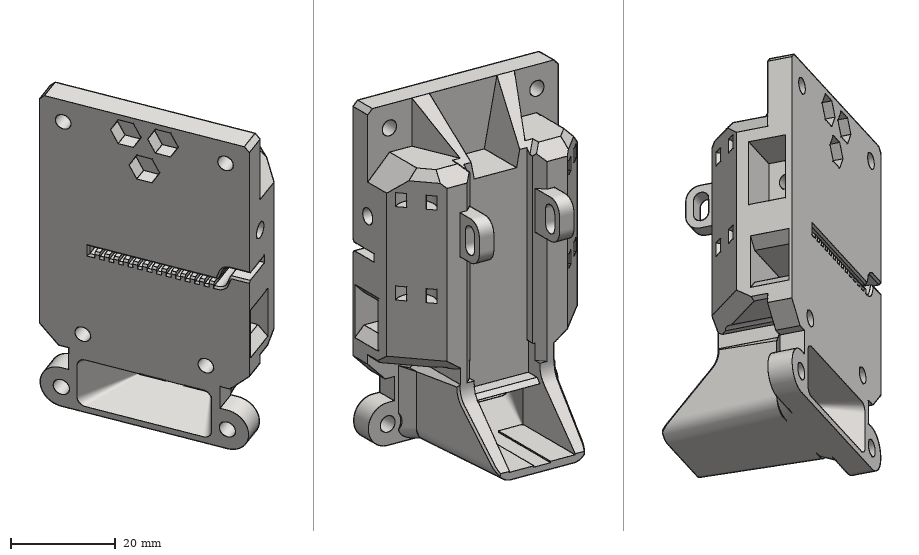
import cadquery as cq
import math

HEIGHT = 71.0
HALF_WIDTH = 22.045
PLATE_THICKNESS = 5.05
PLATE_TOP_CHAMFER = 1.1
PLATE_BOTTOM = 14.0
PLATE_BOTTOM_CHAMFER = 4.05
NECK_HALF_WIDTH = 15.9

EAR_RADIUS = 4.5
EAR_X = 17.43
EAR_HOLE_DIAMETER = 3.4
SCREW_HEAD_DIAMETER = 6.0
PLATE_HOLE_DIAMETER = 3.3
PLATE_HOLES = [(17.05, 66.0), (12.9, 17.95)]

NUT_ACROSS_CORNERS = 6.4
NUT_DEPTH = 3.2
NUT_CENTRES = [(-3.9, 67.0), (3.9, 67.0), (0.0, 59.9)]

BODY_BACK = 20.0
BODY_BOTTOM = 19.3
BODY_TOP = 61.0
BODY_SIDE_BACK = 11.5
BODY_BACK_HALF_WIDTH = 13.9
TOP_SIDE_CHAMFER = 5.05
TOP_BACK_CHAMFER = 3.0
TOP_SLANT_CHAMFER = (1.7, 2.05)
BOTTOM_SLANT_CHAMFER = (2.85, 2.7)
BOTTOM_SIDE_CHAMFER = 0.7

GROOVE_HALF_WIDTH = 7.25
GROOVE_FLOOR = 16.05
GROOVE_BOTTOM = 13.1
GROOVE_MOUTH_BEVEL = 2.0
GROOVE_TOP_FLARE = 2.05

RIB_HALF_WIDTH_FRONT = 11.85
RIB_HALF_WIDTH_BACK = 7.5
CHANNEL_BOTTOM = 56.4
CHANNEL_HALF_WIDTH_BOTTOM = 4.9
CHANNEL_HALF_WIDTH_TOP = 7.8

POCKET_Y = (1.35, 8.95)
POCKET_Z = (39.9, 53.4)
POCKET_DEPTH = 9.95
SCREW_HOLE_DIAMETER = 3.4
SCREW_HOLE_Z = 48.85
TUNNEL_Y = (0.65, 8.6)
TUNNEL_Z = (24.15, 30.95)
TUNNEL_FLARE = 2.1

BELT_DEPTH = 7.1
BELT_THICKNESS = 1.8
BELT_START_X = -11.65
BELT_FLOOR_Z = 36.8
BELT_RISE = 3.3
BELT_BEND_START_X = 16.75
BELT_BEND_LEAD = 1.35
BELT_BEND_RUN = 1.2
BELT_OUTER_BEND_RADIUS = 2.0
BELT_INNER_BEND_RADIUS = 0.6
BELT_BEVEL = 0.4
TOOTH_PITCH = 1.9995
TOOTH_WIDTH = 1.0
TOOTH_HEIGHT = 0.85
TOOTH_COUNT = 13
FIRST_TOOTH_X = -9.95

TIE_CENTRE_Y = 15.7
TIE_OUTER_RADIUS = 4.05
TIE_INNER_RADIUS = 1.9
TIE_HEIGHT = 2.9
TIE_BOTTOMS = (33.9, 53.3)

LUG_X = (7.6, 10.9)
LUG_Y = (GROOVE_FLOOR, 26.7)
LUG_Z = (43.1, 52.25)
LUG_CORNER_RADIUS = 3.0
LUG_SLOT_LENGTH = 6.0
LUG_SLOT_WIDTH = 3.1
LUG_SLOT_Y = 23.5

NOZZLE_BACK = 32.0
NOZZLE_TOP = 16.4
NOZZLE_UPPER_HALF_WIDTH = 10.8
NOZZLE_FLARE_HALF_WIDTH = 15.0
NOZZLE_FLARE_END = (12.3, 7.25)
NOZZLE_FLARE_TOP = 16.05
NOZZLE_FLARE_OVERLAP = 3.0
NOZZLE_BACK_HALF_WIDTH = 10.4
NOZZLE_LOWER_RADIUS = 3.1
NOZZLE_BACK_HEIGHT = 1.85
NOZZLE_SLOPE_RADIUS = 4.6
NOZZLE_RIM_CHAMFER = 0.4
DUCT_HALF_WIDTH = 7.6
DUCT_TOP = 12.15
DUCT_FLOOR = 1.6
DUCT_GUTTER_HALF_WIDTH = 1.9
INLET_HALF_WIDTH = 14.1
INLET_FLOOR = 1.35
INLET_RADIUS = 1.8
INLET_LENGTH = 14.2
INLET_END_RADIUS = 0.2

MARGIN = 3.55


def box(x, y, z):
    """Box between the (low, high) limits on each axis."""
    return cq.Workplane("XY").box(
        x[1] - x[0], y[1] - y[0], z[1] - z[0], centered=False
    ).translate((x[0], y[0], z[0]))


def both_sides(shape):
    """A right-hand shape together with its mirror image across X = 0."""
    return shape.union(shape.mirror("YZ"))


def mirrored_outline(points):
    """Close a right-hand point list with its mirror image across the first axis."""
    return points + [(-a, b) for a, b in reversed(points)]


def along_y(points, start, end):
    """Extrude an XZ outline from Y = start to Y = end."""
    return cq.Workplane("XZ", origin=(0, start, 0)).polyline(points).close().extrude(start - end)


def along_x(points, half_length):
    """Extrude a YZ outline to both sides of X = 0."""
    return cq.Workplane("YZ").polyline(points).close().extrude(half_length, both=True)


def along_z(points, bottom, top):
    """Extrude an XY outline from Z = bottom to Z = top."""
    return cq.Workplane("XY").workplane(offset=bottom).polyline(points).close().extrude(top - bottom)


def rods_y(centres, diameter, start, end):
    """Round rods along Y at XZ centres."""
    return (
        cq.Workplane("XZ", origin=(0, start, 0))
        .pushPoints(centres)
        .circle(diameter / 2)
        .extrude(start - end)
    )


def make_plate():
    outline = mirrored_outline([
        (NECK_HALF_WIDTH, 0),
        (NECK_HALF_WIDTH, PLATE_BOTTOM),
        (HALF_WIDTH - PLATE_BOTTOM_CHAMFER, PLATE_BOTTOM),
        (HALF_WIDTH, PLATE_BOTTOM + PLATE_BOTTOM_CHAMFER),
        (HALF_WIDTH, HEIGHT - PLATE_TOP_CHAMFER),
        (HALF_WIDTH - PLATE_TOP_CHAMFER, HEIGHT),
    ])
    plate = along_y(outline, 0, PLATE_THICKNESS)
    ear_bar = box((-EAR_X, EAR_X), (0, PLATE_THICKNESS), (0, 2 * EAR_RADIUS))
    ears = rods_y([(-EAR_X, EAR_RADIUS), (EAR_X, EAR_RADIUS)], 2 * EAR_RADIUS, 0, PLATE_THICKNESS)
    return plate.union(ear_bar).union(ears)


def slant_envelope():
    """Prism along the right slanted side whose section carries that side's top and bottom bevels."""
    run_x = HALF_WIDTH - BODY_BACK_HALF_WIDTH
    run_y = BODY_BACK - BODY_SIDE_BACK
    length = math.hypot(run_x, run_y)
    outward = (run_y / length, run_x / length, 0)
    plane = cq.Plane(
        origin=(HALF_WIDTH, BODY_SIDE_BACK, 0),
        xDir=outward,
        normal=(outward[1], -outward[0], 0),
    )
    section = [
        (-2 * HALF_WIDTH, BODY_BOTTOM),
        (-BOTTOM_SLANT_CHAMFER[0], BODY_BOTTOM),
        (0, BODY_BOTTOM + BOTTOM_SLANT_CHAMFER[1]),
        (0, BODY_TOP - TOP_SLANT_CHAMFER[1]),
        (-TOP_SLANT_CHAMFER[0], BODY_TOP),
        (-2 * HALF_WIDTH, BODY_TOP),
    ]
    return cq.Workplane(plane).polyline(section).close().extrude(2 * HALF_WIDTH, both=True)


def make_body():
    plan = mirrored_outline([
        (HALF_WIDTH, 0),
        (HALF_WIDTH, BODY_SIDE_BACK),
        (BODY_BACK_HALF_WIDTH, BODY_BACK),
    ])
    body = along_z(plan, BODY_BOTTOM, BODY_TOP)
    front_profile = mirrored_outline([
        (HALF_WIDTH - BOTTOM_SIDE_CHAMFER, BODY_BOTTOM),
        (HALF_WIDTH, BODY_BOTTOM + BOTTOM_SIDE_CHAMFER),
        (HALF_WIDTH, BODY_TOP - TOP_SIDE_CHAMFER),
        (HALF_WIDTH - TOP_SIDE_CHAMFER, BODY_TOP),
    ])
    side_profile = [
        (0, BODY_BOTTOM),
        (BODY_BACK, BODY_BOTTOM),
        (BODY_BACK, BODY_TOP - TOP_BACK_CHAMFER),
        (BODY_BACK - TOP_BACK_CHAMFER, BODY_TOP),
        (0, BODY_TOP),
    ]
    body = body.intersect(along_y(front_profile, 0, BODY_BACK))
    body = body.intersect(along_x(side_profile, HALF_WIDTH))
    slants = slant_envelope()
    return body.intersect(slants).intersect(slants.mirror("YZ"))


def make_ribs():
    plan = mirrored_outline([
        (RIB_HALF_WIDTH_FRONT, PLATE_THICKNESS),
        (RIB_HALF_WIDTH_BACK, PLATE_THICKNESS + HEIGHT - BODY_TOP),
    ])
    slope = [
        (PLATE_THICKNESS, BODY_TOP),
        (PLATE_THICKNESS, HEIGHT),
        (PLATE_THICKNESS + HEIGHT - BODY_TOP, BODY_TOP),
    ]
    return along_z(plan, BODY_TOP, HEIGHT).intersect(along_x(slope, HALF_WIDTH))


def make_rib_channel():
    section = mirrored_outline([
        (CHANNEL_HALF_WIDTH_BOTTOM, CHANNEL_BOTTOM),
        (CHANNEL_HALF_WIDTH_TOP, HEIGHT),
    ])
    return along_y(section, PLATE_THICKNESS, GROOVE_FLOOR)


def make_groove():
    plan = mirrored_outline([
        (GROOVE_HALF_WIDTH, GROOVE_FLOOR),
        (GROOVE_HALF_WIDTH, BODY_BACK - GROOVE_MOUTH_BEVEL),
        (GROOVE_HALF_WIDTH + GROOVE_MOUTH_BEVEL, BODY_BACK),
        (GROOVE_HALF_WIDTH + GROOVE_MOUTH_BEVEL, NOZZLE_BACK),
    ])
    upper = along_z(plan, NOZZLE_TOP, HEIGHT)
    lower = box(
        (-DUCT_HALF_WIDTH, DUCT_HALF_WIDTH), (GROOVE_FLOOR, NOZZLE_BACK), (GROOVE_BOTTOM, NOZZLE_TOP + MARGIN)
    )
    flare_section = mirrored_outline([
        (GROOVE_HALF_WIDTH, BODY_TOP - GROOVE_TOP_FLARE),
        (GROOVE_HALF_WIDTH + GROOVE_TOP_FLARE, BODY_TOP),
    ])
    flare = along_y(flare_section, PLATE_THICKNESS, BODY_BACK)
    behind_slope = along_x([
        (PLATE_THICKNESS, HEIGHT),
        (PLATE_THICKNESS + HEIGHT, 0),
        (PLATE_THICKNESS + HEIGHT, HEIGHT),
    ], HALF_WIDTH)
    return upper.union(lower).union(flare.intersect(behind_slope))


def rounded_nozzle_block(front_corner, back_corner):
    """Block between two plan corners and their mirror images, with rounded lower side edges."""
    block = along_z(mirrored_outline([front_corner, back_corner]), 0, NOZZLE_TOP)
    return block.faces("<Z").edges("not(|X)").fillet(NOZZLE_LOWER_RADIUS)


def make_nozzle():
    flare_start = (NOZZLE_FLARE_HALF_WIDTH, PLATE_THICKNESS)
    back_corner = (NOZZLE_BACK_HALF_WIDTH, NOZZLE_BACK)
    flare_tip = tuple(start + NOZZLE_FLARE_OVERLAP * (end - start)
                      for start, end in zip(flare_start, NOZZLE_FLARE_END))
    flare = rounded_nozzle_block(flare_start, flare_tip)
    shroud = rounded_nozzle_block(NOZZLE_FLARE_END, back_corner)
    shroud = shroud.intersect(make_nozzle_envelope())
    slope_y = (BODY_BACK + NOZZLE_BACK) / 2
    slope_middle = (0, slope_y, NOZZLE_BACK + NOZZLE_BACK_HEIGHT - slope_y)
    slope_face = shroud.faces(cq.NearestToPointSelector(slope_middle))
    shroud = slope_face.edges("not(|X)").chamfer(NOZZLE_RIM_CHAMFER)
    lower = flare.union(shroud)
    side_start_x = NOZZLE_FLARE_END[0]
    roof_section = mirrored_outline([
        (NOZZLE_FLARE_HALF_WIDTH, 0),
        (NOZZLE_FLARE_HALF_WIDTH, NOZZLE_FLARE_TOP),
        (side_start_x, NOZZLE_TOP + NOZZLE_UPPER_HALF_WIDTH - side_start_x),
        (NOZZLE_UPPER_HALF_WIDTH, NOZZLE_TOP),
    ])
    lower = lower.intersect(along_y(roof_section, 0, NOZZLE_BACK))
    upper = box(
        (-NOZZLE_UPPER_HALF_WIDTH, NOZZLE_UPPER_HALF_WIDTH),
        (PLATE_THICKNESS, BODY_BACK),
        (NOZZLE_LOWER_RADIUS, BODY_BOTTOM + BOTTOM_SLANT_CHAMFER[1]),
    )
    return lower.union(upper)


def make_nozzle_envelope():
    """Side profile: straight back, a rounded turn into the 45 degree slope, and a short vertical end."""
    slope_start_z = NOZZLE_BACK + NOZZLE_BACK_HEIGHT - BODY_BACK
    tangent = NOZZLE_SLOPE_RADIUS * math.tan(math.radians(22.5))
    diagonal = tangent * math.sqrt(0.5)
    return (
        cq.Workplane("YZ")
        .moveTo(0, 0)
        .lineTo(NOZZLE_BACK, 0)
        .lineTo(NOZZLE_BACK, NOZZLE_BACK_HEIGHT)
        .lineTo(BODY_BACK + diagonal, slope_start_z - diagonal)
        .radiusArc((BODY_BACK, slope_start_z + tangent), NOZZLE_SLOPE_RADIUS)
        .lineTo(BODY_BACK, HEIGHT)
        .lineTo(0, HEIGHT)
        .close()
        .extrude(HALF_WIDTH, both=True)
    )


def make_duct():
    inlet_height = DUCT_TOP - INLET_FLOOR
    inlet = (
        cq.Workplane("XZ", origin=(0, 0, (DUCT_TOP + INLET_FLOOR) / 2))
        .placeSketch(
            cq.Sketch().rect(2 * INLET_HALF_WIDTH, inlet_height).vertices().fillet(INLET_RADIUS),
            cq.Sketch()
            .rect(2 * DUCT_HALF_WIDTH, inlet_height)
            .vertices()
            .fillet(INLET_END_RADIUS)
            .moved(cq.Location(cq.Vector(0, 0, -INLET_LENGTH))),
        )
        .loft()
    )
    passage = box(
        (-DUCT_HALF_WIDTH, DUCT_HALF_WIDTH), (INLET_LENGTH, NOZZLE_BACK + MARGIN), (DUCT_FLOOR, DUCT_TOP)
    )
    gutter = box(
        (-DUCT_GUTTER_HALF_WIDTH, DUCT_GUTTER_HALF_WIDTH),
        (INLET_LENGTH, NOZZLE_BACK + MARGIN),
        (INLET_FLOOR, DUCT_TOP),
    )
    lip_height = GROOVE_BOTTOM - DUCT_TOP
    roof_lip = along_x([
        (BODY_BACK, DUCT_TOP),
        (NOZZLE_BACK, DUCT_TOP),
        (NOZZLE_BACK, GROOVE_BOTTOM),
        (BODY_BACK - lip_height, GROOVE_BOTTOM),
    ], DUCT_HALF_WIDTH)
    return inlet.union(passage).union(gutter).union(roof_lip)


def make_nut_pockets():
    return (
        cq.Workplane("XZ")
        .pushPoints(NUT_CENTRES)
        .polygon(6, NUT_ACROSS_CORNERS)
        .extrude(-NUT_DEPTH)
    )


def make_plate_holes():
    centres = [(side * x, z) for x, z in PLATE_HOLES for side in (-1, 1)]
    ear_centres = [(-EAR_X, EAR_RADIUS), (EAR_X, EAR_RADIUS)]
    holes = rods_y(centres, PLATE_HOLE_DIAMETER, 0, NOZZLE_BACK)
    ear_holes = rods_y(ear_centres, EAR_HOLE_DIAMETER, 0, PLATE_THICKNESS)
    head_clearance = rods_y(ear_centres, SCREW_HEAD_DIAMETER, PLATE_THICKNESS, NOZZLE_BACK)
    return holes.union(ear_holes).union(head_clearance)


def make_side_openings():
    pocket = box((-HALF_WIDTH, -HALF_WIDTH + POCKET_DEPTH), POCKET_Y, POCKET_Z)
    screw_hole = (
        cq.Workplane("YZ")
        .center(PLATE_THICKNESS, SCREW_HOLE_Z)
        .circle(SCREW_HOLE_DIAMETER / 2)
        .extrude(HALF_WIDTH, both=True)
    )
    inner_x = HALF_WIDTH - TUNNEL_FLARE
    low, high = TUNNEL_Z
    tunnel = along_y([
        (-HALF_WIDTH, low - TUNNEL_FLARE),
        (-inner_x, low),
        (inner_x, low),
        (HALF_WIDTH, low - TUNNEL_FLARE),
        (HALF_WIDTH, high + TUNNEL_FLARE),
        (inner_x, high),
        (-inner_x, high),
        (-HALF_WIDTH, high + TUNNEL_FLARE),
    ], *TUNNEL_Y)
    return pocket.union(screw_hole).union(tunnel)


def make_belt_groove():
    top_z = BELT_FLOOR_Z + BELT_THICKNESS
    end_x = HALF_WIDTH + MARGIN
    upper_bend_x = BELT_BEND_START_X - BELT_BEND_LEAD
    outline = cq.Workplane("XZ").polyline([
        (BELT_START_X, BELT_FLOOR_Z),
        (BELT_BEND_START_X, BELT_FLOOR_Z),
        (BELT_BEND_START_X + BELT_BEND_RUN, BELT_FLOOR_Z + BELT_RISE),
        (end_x, BELT_FLOOR_Z + BELT_RISE),
        (end_x, top_z + BELT_RISE),
        (upper_bend_x + BELT_BEND_RUN, top_z + BELT_RISE),
        (upper_bend_x, top_z),
        (BELT_START_X, top_z),
    ]).close()
    groove = outline.extrude(-BELT_DEPTH)

    def bend(x, z):
        return cq.NearestToPointSelector((x, BELT_DEPTH / 2, z))

    lower_outer = (BELT_BEND_START_X, BELT_FLOOR_Z)
    upper_outer = (upper_bend_x + BELT_BEND_RUN, top_z + BELT_RISE)
    lower_inner = (BELT_BEND_START_X + BELT_BEND_RUN, BELT_FLOOR_Z + BELT_RISE)
    upper_inner = (upper_bend_x, top_z)
    for corner in (lower_outer, upper_outer):
        groove = groove.edges(bend(*corner)).fillet(BELT_OUTER_BEND_RADIUS)
    for corner in (lower_inner, upper_inner):
        groove = groove.edges(bend(*corner)).fillet(BELT_INNER_BEND_RADIUS)
    bevel = (
        groove.faces("<Y").wires().toPending()
        .workplane()
        .offset2D(BELT_BEVEL, "intersection")
        .extrude(-BELT_BEVEL, taper=45)
    )
    groove = groove.union(bevel)
    tooth_root = BELT_FLOOR_Z - BELT_BEVEL
    tooth_tip = BELT_FLOOR_Z + TOOTH_HEIGHT
    tooth = along_x([
        (0, tooth_root),
        (0, tooth_tip - BELT_BEVEL),
        (BELT_BEVEL, tooth_tip),
        (BELT_DEPTH, tooth_tip),
        (BELT_DEPTH, tooth_root),
    ], TOOTH_WIDTH / 2)
    for index in range(TOOTH_COUNT):
        x = FIRST_TOOTH_X + index * TOOTH_PITCH
        groove = groove.cut(tooth.translate((x, 0, 0)))
    return groove


def make_tie_loops():
    """Curved tunnels that enter and leave through the right slanted side."""
    slant_ratio = (HALF_WIDTH - BODY_BACK_HALF_WIDTH) / (BODY_BACK - BODY_SIDE_BACK)
    centre_x = HALF_WIDTH - (TIE_CENTRE_Y - BODY_SIDE_BACK) * slant_ratio
    loops = cq.Workplane("XY")
    for bottom in TIE_BOTTOMS:
        loop = (
            cq.Workplane("XY", origin=(centre_x, TIE_CENTRE_Y, bottom))
            .circle(TIE_OUTER_RADIUS)
            .circle(TIE_INNER_RADIUS)
            .extrude(TIE_HEIGHT)
        )
        loops = loops.add(loop)
    return loops.combine()


def make_lug():
    lug = box(LUG_X, LUG_Y, LUG_Z).edges("|X and >Y").fillet(LUG_CORNER_RADIUS)
    slot = (
        cq.Workplane("YZ", origin=(0, LUG_SLOT_Y, (LUG_Z[0] + LUG_Z[1]) / 2))
        .slot2D(LUG_SLOT_LENGTH, LUG_SLOT_WIDTH, 90)
        .extrude(HALF_WIDTH)
    )
    return lug.cut(slot)


result = (
    make_body()
    .union(make_ribs())
    .union(make_nozzle())
    .cut(make_rib_channel())
    .cut(make_groove())
    .cut(both_sides(make_tie_loops()))
    .union(both_sides(make_lug()))
    .union(make_plate())
    .cut(make_duct())
    .cut(make_nut_pockets())
    .cut(make_plate_holes())
    .cut(make_side_openings())
    .cut(make_belt_groove())
)